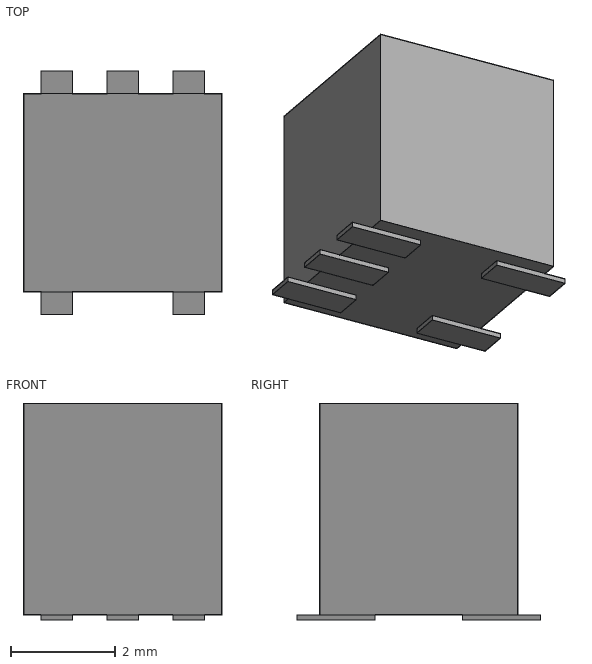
import cadquery as cq

housing_side = 3.81
total_height = 4.16

terminal_width = 0.61
terminal_length = 1.5
terminal_thickness = 0.1
terminal_pitch = 1.27
terminal_span = 4.68

housing_height = total_height - terminal_thickness
row_offset = (terminal_span - terminal_length) / 2

front_row = [(-terminal_pitch, -row_offset), (terminal_pitch, -row_offset)]
back_row = [(step * terminal_pitch, row_offset) for step in (-1, 0, 1)]


def make_housing():
    """Plain square block standing on top of the terminals."""
    return (
        cq.Workplane("XY")
        .workplane(offset=terminal_thickness)
        .rect(housing_side, housing_side)
        .extrude(housing_height)
    )


def make_terminal(x, y):
    """Flat rectangular terminal with its underside at Z = 0."""
    return (
        cq.Workplane("XY")
        .center(x, y)
        .rect(terminal_width, terminal_length)
        .extrude(terminal_thickness)
    )


housing = make_housing()
terminals = [make_terminal(x, y) for x, y in front_row + back_row]

result = cq.Compound.makeCompound(
    [housing.val(), *[terminal.val() for terminal in terminals]]
)